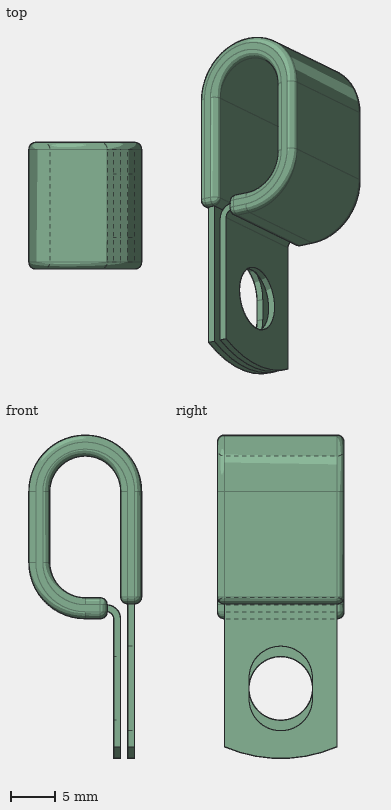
import cadquery as cq
import math


strap_thickness = 0.794
cushion_cover = 0.794
outer_width = 12.726
strap_width = 12.7
loop_straight = 7.97
overall_height = 36.43
lower_end_x = 2.48
right_end_z = -12.65
hole_diameter = 7.14
slot_travel = 2.38
hole_to_tip = 7.9
tip_radius = 15.9
bend_inner_radius = 0.794
leg_gap = 0.794

wall = strap_thickness + 2 * cushion_cover
outer_radius = outer_width / 2
inner_radius = outer_radius - wall
strap_outer_radius = outer_radius - cushion_cover
strap_inner_radius = strap_outer_radius - strap_thickness
cushion_width = strap_width + 2 * cushion_cover
lower_center_z = -loop_straight
tip_z = outer_radius - overall_height
hole_z = tip_z + hole_to_tip

bend_outer_radius = bend_inner_radius + strap_thickness
left_leg_outer_x = strap_inner_radius - leg_gap
left_leg_inner_x = left_leg_outer_x - strap_thickness
bend_start_x = left_leg_outer_x - bend_outer_radius
bend_center_z = lower_center_z - strap_inner_radius - bend_outer_radius

arc_45 = math.sqrt(0.5)


def xz_prism(profile, width):
    """Extrude a closed XZ profile symmetrically about Y = 0."""
    return profile.close().extrude(width / 2, both=True)


def make_cushion():
    """J-shaped cushion around the loop, with every outer edge rounded."""
    profile = (
        cq.Workplane("XZ")
        .moveTo(outer_radius, right_end_z)
        .lineTo(outer_radius, 0)
        .threePointArc((0, outer_radius), (-outer_radius, 0))
        .lineTo(-outer_radius, lower_center_z)
        .threePointArc(
            (-outer_radius * arc_45, lower_center_z - outer_radius * arc_45),
            (0, lower_center_z - outer_radius),
        )
        .lineTo(lower_end_x, lower_center_z - outer_radius)
        .lineTo(lower_end_x, lower_center_z - inner_radius)
        .lineTo(0, lower_center_z - inner_radius)
        .threePointArc(
            (-inner_radius * arc_45, lower_center_z - inner_radius * arc_45),
            (-inner_radius, lower_center_z),
        )
        .lineTo(-inner_radius, 0)
        .threePointArc((0, inner_radius), (inner_radius, 0))
        .lineTo(inner_radius, right_end_z)
    )
    cushion = xz_prism(profile, cushion_width)
    side_edges = cushion.faces("<Y or >Y").edges()
    right_end_edges = cushion.faces(
        cq.selectors.NearestToPointSelector((outer_radius - wall / 2, 0, right_end_z))
    ).edges("|Y")
    lower_end_edges = cushion.faces(
        cq.selectors.NearestToPointSelector(
            (lower_end_x, 0, lower_center_z - outer_radius + wall / 2)
        )
    ).edges("|Y")
    rounded_edges = side_edges.add(right_end_edges).add(lower_end_edges)
    return rounded_edges.fillet(cushion_cover)


def make_right_leg():
    """Straight mounting leg, running down from inside the right cushion leg."""
    profile = (
        cq.Workplane("XZ")
        .moveTo(strap_inner_radius, 0)
        .lineTo(strap_outer_radius, 0)
        .lineTo(strap_outer_radius, tip_z)
        .lineTo(strap_inner_radius, tip_z)
    )
    return xz_prism(profile, strap_width)


def make_left_leg():
    """Mounting leg that leaves the lower cushion end and bends down."""
    top_z = lower_center_z - strap_inner_radius
    underside_z = top_z - strap_thickness
    profile = (
        cq.Workplane("XZ")
        .moveTo(0, top_z)
        .lineTo(bend_start_x, top_z)
        .threePointArc(
            (bend_start_x + bend_outer_radius * arc_45, bend_center_z + bend_outer_radius * arc_45),
            (left_leg_outer_x, bend_center_z),
        )
        .lineTo(left_leg_outer_x, tip_z)
        .lineTo(left_leg_inner_x, tip_z)
        .lineTo(left_leg_inner_x, bend_center_z)
        .threePointArc(
            (bend_start_x + bend_inner_radius * arc_45, bend_center_z + bend_inner_radius * arc_45),
            (bend_start_x, underside_z),
        )
        .lineTo(0, underside_z)
    )
    return xz_prism(profile, strap_width)


def make_leg_outline():
    """Prism along X with the side edges and rounded tip shared by both legs."""
    half_width = strap_width / 2
    tip_corner_z = tip_z + tip_radius - math.sqrt(tip_radius**2 - half_width**2)
    return (
        cq.Workplane("YZ")
        .moveTo(-half_width, 0)
        .lineTo(-half_width, tip_corner_z)
        .threePointArc((0, tip_z), (half_width, tip_corner_z))
        .lineTo(half_width, 0)
        .close()
        .extrude(outer_radius)
    )


def make_hole_cutter():
    """Round bolt hole cutter along X, for the left leg."""
    return cq.Workplane("YZ").center(0, hole_z).circle(hole_diameter / 2).extrude(outer_radius)


def make_slot_cutter():
    """Vertical slot cutter along X, for the right leg."""
    slot_length = hole_diameter + slot_travel
    return (
        cq.Workplane("YZ")
        .center(0, hole_z)
        .slot2D(slot_length, hole_diameter, angle=90)
        .extrude(outer_radius)
    )


leg_outline = make_leg_outline()
right_leg = make_right_leg().intersect(leg_outline).cut(make_slot_cutter())
left_leg = make_left_leg().intersect(leg_outline).cut(make_hole_cutter())
result = make_cushion().union(right_leg).union(left_leg)